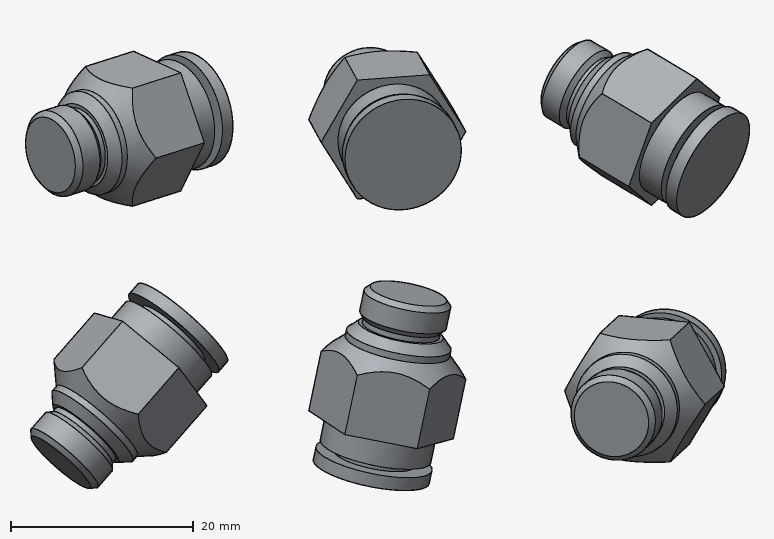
import cadquery as cq
import math

length = 20.6
hex_across_flats = 14.0
hex_across_corners = hex_across_flats / math.cos(math.pi / 6)

tip_diameter = 8.55
thread_diameter = 9.72
front_neck_diameter = 8.65
shoulder_diameter = 11.7
collar_diameter = 12.4
rear_neck_diameter = 8.95
ring_diameter = 13.0

tip_chamfer_end = 0.6
thread_end = 3.0
front_neck_start = 3.6
shoulder_start = 4.22
shoulder_chamfer_end = 5.34
cone_start = 6.1
hex_end = 15.2
collar_end = 18.23
ring_start = 19.1

shoulder_face_radius = shoulder_diameter / 2 - (shoulder_chamfer_end - shoulder_start)
cone_height = (hex_across_corners - shoulder_diameter) / 2
cone_end = cone_start + cone_height


def revolve_about_y(profile):
    """Revolve (radius, y) points, closed along the Y axis, into a solid."""
    closed = [(0, profile[0][1])] + profile + [(0, profile[-1][1])]
    return cq.Workplane("XY").polyline(closed).close().revolve(360, (0, 0), (0, 1))


def hexagonal_body():
    """Hexagon with corners along X, its front trimmed by a 45 degree cone."""
    prism = (
        cq.Workplane("XZ", origin=(0, hex_end, 0))
        .polygon(6, hex_across_corners)
        .extrude(hex_end - cone_start)
    )
    envelope = revolve_about_y([
        (shoulder_diameter / 2, cone_start),
        (hex_across_corners / 2, cone_end),
        (hex_across_corners / 2, hex_end),
    ])
    return prism.intersect(envelope)


def threaded_end():
    """Chamfered plain thread, undercut neck and bevelled shoulder."""
    return revolve_about_y([
        (tip_diameter / 2, 0),
        (thread_diameter / 2, tip_chamfer_end),
        (thread_diameter / 2, thread_end),
        (front_neck_diameter / 2, front_neck_start),
        (front_neck_diameter / 2, shoulder_start),
        (shoulder_face_radius, shoulder_start),
        (shoulder_diameter / 2, shoulder_chamfer_end),
        (shoulder_diameter / 2, cone_start),
    ])


def tube_end():
    """Collar, neck and release ring behind the hexagon."""
    return revolve_about_y([
        (collar_diameter / 2, hex_end),
        (collar_diameter / 2, collar_end),
        (rear_neck_diameter / 2, collar_end),
        (rear_neck_diameter / 2, ring_start),
        (ring_diameter / 2, ring_start),
        (ring_diameter / 2, length),
    ])


result = hexagonal_body().union(threaded_end()).union(tube_end())